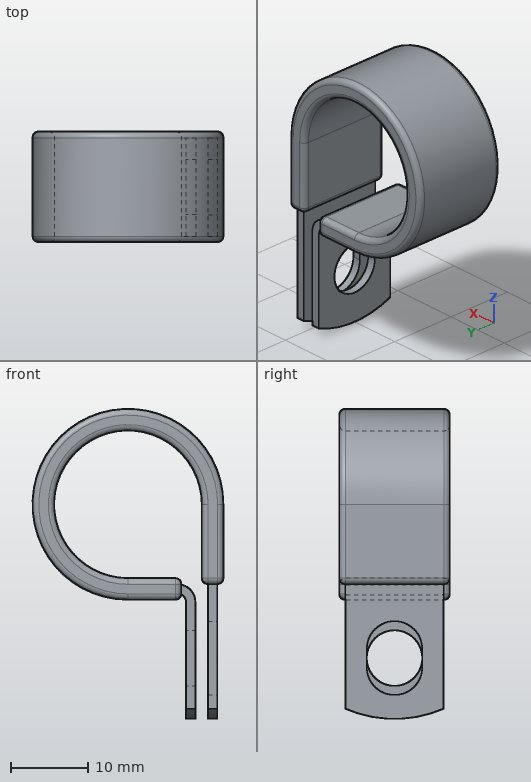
import cadquery as cq
import math


bore_radius = 9.51
strap_thickness = 1.2325
strap_width = 12.7
cushion_thickness = 0.79375
tab_gap = 1.5875
bend_inner_radius = 1.1
foot_end_x = 6.89
tab_tip_z = -27.71
tab_tip_radius = 15.875
hole_diameter = 7.14375
hole_center_z = -19.84375
slot_length = 9.525

strap_inner_radius = bore_radius + cushion_thickness
strap_outer_radius = strap_inner_radius + strap_thickness
cushion_outer_radius = strap_outer_radius + cushion_thickness
cushion_width = strap_width + 2 * cushion_thickness
riser_end_z = -strap_inner_radius
bent_tab_outer_x = strap_inner_radius - tab_gap
bent_tab_inner_x = bent_tab_outer_x - strap_thickness
bend_outer_radius = bend_inner_radius + strap_thickness
bend_center_x = bent_tab_inner_x - bend_inner_radius
bend_center_z = -strap_outer_radius - bend_inner_radius
DIAGONAL = math.sqrt(0.5)


def extrude_centered(profile, width):
    """Extrude a closed XZ profile along Y, half to each side of Y = 0."""
    return profile.extrude(width / 2, both=True)


def make_cushion():
    """Three-quarter loop with two straight ends, all outer edges rounded."""
    outer = cushion_outer_radius
    inner = bore_radius
    profile = (
        cq.Workplane("XZ")
        .moveTo(outer, riser_end_z)
        .lineTo(outer, 0)
        .threePointArc((-outer * DIAGONAL, outer * DIAGONAL), (0, -outer))
        .lineTo(foot_end_x, -outer)
        .lineTo(foot_end_x, -inner)
        .lineTo(0, -inner)
        .threePointArc((-inner * DIAGONAL, inner * DIAGONAL), (inner, 0))
        .lineTo(inner, riser_end_z)
        .close()
    )
    blank = extrude_centered(profile, cushion_width)
    rims = blank.faces("<Y or >Y").edges()
    middle = (inner + outer) / 2
    foot_end = blank.faces(cq.selectors.NearestToPointSelector((foot_end_x, 0, -middle)))
    riser_end = blank.faces(cq.selectors.NearestToPointSelector((middle, 0, riser_end_z)))
    rounded_edges = rims.add(foot_end.edges("|Y")).add(riser_end.edges("|Y"))
    return rounded_edges.fillet(cushion_thickness)


def hole_plane():
    """YZ workplane centered on the bolt axis."""
    return cq.Workplane("YZ").center(0, hole_center_z)


def make_straight_tab():
    """Flat end of the strap that runs straight down from the side of the loop."""
    profile = (
        cq.Workplane("XZ")
        .moveTo(strap_inner_radius, 0)
        .lineTo(strap_outer_radius, 0)
        .lineTo(strap_outer_radius, tab_tip_z)
        .lineTo(strap_inner_radius, tab_tip_z)
        .close()
    )
    slot = (
        hole_plane()
        .slot2D(slot_length, hole_diameter, angle=90)
        .extrude(cushion_outer_radius)
    )
    return extrude_centered(profile, strap_width).cut(slot)


def make_bent_tab():
    """End of the strap that leaves the loop horizontally and bends down."""
    outer_mid = (
        bend_center_x + bend_outer_radius * DIAGONAL,
        bend_center_z + bend_outer_radius * DIAGONAL,
    )
    inner_mid = (
        bend_center_x + bend_inner_radius * DIAGONAL,
        bend_center_z + bend_inner_radius * DIAGONAL,
    )
    profile = (
        cq.Workplane("XZ")
        .moveTo(0, -strap_inner_radius)
        .lineTo(bend_center_x, -strap_inner_radius)
        .threePointArc(outer_mid, (bent_tab_outer_x, bend_center_z))
        .lineTo(bent_tab_outer_x, tab_tip_z)
        .lineTo(bent_tab_inner_x, tab_tip_z)
        .lineTo(bent_tab_inner_x, bend_center_z)
        .threePointArc(inner_mid, (bend_center_x, -strap_outer_radius))
        .lineTo(0, -strap_outer_radius)
        .close()
    )
    hole = hole_plane().circle(hole_diameter / 2).extrude(cushion_outer_radius)
    return extrude_centered(profile, strap_width).cut(hole)


def make_tab_outline():
    """Face-on shape of both tabs with its rounded lower tip, as a block along X."""
    half_width = strap_width / 2
    tip_rise = tab_tip_radius - math.sqrt(tab_tip_radius**2 - half_width**2)
    corner_z = tab_tip_z + tip_rise
    return (
        cq.Workplane("YZ")
        .moveTo(-half_width, 0)
        .lineTo(-half_width, corner_z)
        .threePointArc((0, tab_tip_z), (half_width, corner_z))
        .lineTo(half_width, 0)
        .close()
        .extrude(cushion_outer_radius)
    )


tabs = make_straight_tab().union(make_bent_tab()).intersect(make_tab_outline())
result = make_cushion().union(tabs)